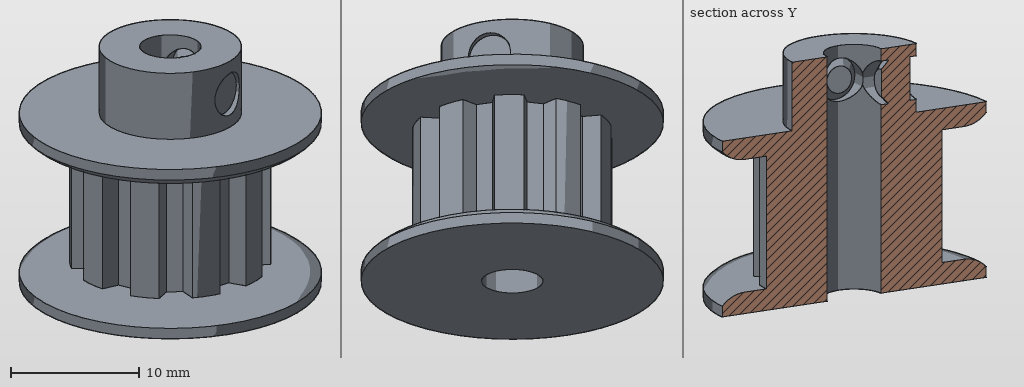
import cadquery as cq
import math

total_height = 19.84
flange_thickness = 1.78
belt_width = 10.72
hub_height = total_height - 2 * flange_thickness - belt_width
upper_flange_bottom = flange_thickness + belt_width
hub_bottom = upper_flange_bottom + flange_thickness

flange_radius = 11.8
flange_rim_height = flange_thickness / 2
flange_flat_radius = 9.8

tooth_count = 10
tip_radius = 7.87
root_distance = 6.43
groove_floor_width = 1.32
groove_mouth_width = 2.6

hub_radius = 5.56
bore_radius = 2.39
screw_hole_radius = 1.75
screw_hole_height = hub_bottom + hub_height / 2

screw_tip_distance = 2.4
screw_tip_radius = 1.1
screw_outer_end = 5.0


def make_flange():
    """Disc with a plain rim and a rounded edge on top that blends into the flat face."""
    edge_width = flange_radius - flange_flat_radius
    edge_drop = flange_thickness - flange_rim_height
    arc_radius = (edge_width**2 + edge_drop**2) / (2 * edge_drop)
    half_sweep = math.asin(edge_width / arc_radius) / 2
    arc_middle = (
        flange_flat_radius + arc_radius * math.sin(half_sweep),
        flange_thickness - arc_radius * (1 - math.cos(half_sweep)),
    )
    profile = (
        cq.Workplane("XZ")
        .lineTo(flange_radius, 0)
        .lineTo(flange_radius, flange_rim_height)
        .threePointArc(arc_middle, (flange_flat_radius, flange_thickness))
        .lineTo(0, flange_thickness)
        .close()
    )
    return profile.revolve(360, (0, 0), (0, 1))


def make_groove():
    """Trapezoidal belt groove, cut on the +X side and running the full belt width."""
    mouth_half = groove_mouth_width / 2
    floor_half = groove_floor_width / 2
    mouth_distance = math.sqrt(tip_radius**2 - mouth_half**2)
    return (
        cq.Workplane("XY")
        .workplane(offset=flange_thickness)
        .moveTo(root_distance, -floor_half)
        .lineTo(mouth_distance, -mouth_half)
        .lineTo(tip_radius, -mouth_half)
        .lineTo(tip_radius, mouth_half)
        .lineTo(mouth_distance, mouth_half)
        .lineTo(root_distance, floor_half)
        .close()
        .extrude(belt_width)
    )


def make_toothed_section():
    """Cylinder with equally spaced grooves, leaving teeth centred on +X and -X."""
    base = cq.Workplane("XY").workplane(offset=flange_thickness)
    section = base.circle(tip_radius).extrude(belt_width)
    groove = make_groove()
    pitch_angle = 360 / tooth_count
    for index in range(tooth_count):
        angle = (index + 0.5) * pitch_angle
        section = section.cut(groove.rotate((0, 0, 0), (0, 0, 1), angle))
    return section


def make_screw_hole():
    """Radial hole from the pulley axis out past the +X side of the hub."""
    return (
        cq.Workplane("YZ")
        .center(0, screw_hole_height)
        .circle(screw_hole_radius)
        .extrude(flange_radius)
    )


def make_set_screw():
    """Screw filling the +X hole, with a 45 degree chamfered flat tip just clear of the bore."""
    screw_length = screw_outer_end - screw_tip_distance
    return (
        cq.Workplane("YZ")
        .workplane(offset=screw_tip_distance)
        .center(0, screw_hole_height)
        .circle(screw_hole_radius)
        .extrude(screw_length)
        .faces("<X")
        .chamfer(screw_hole_radius - screw_tip_radius)
    )


lower_flange = make_flange()
upper_flange = make_flange().mirror("XY").translate((0, 0, hub_bottom))
hub = cq.Workplane("XY").workplane(offset=hub_bottom).circle(hub_radius).extrude(hub_height)
bore = cq.Workplane("XY").circle(bore_radius).extrude(total_height)

result = lower_flange.union(make_toothed_section()).union(upper_flange).union(hub).cut(bore)

screw_hole = make_screw_hole()
set_screw = make_set_screw()
for direction in (0, 90):
    result = result.cut(screw_hole.rotate((0, 0, 0), (0, 0, 1), direction))
    result = result.union(set_screw.rotate((0, 0, 0), (0, 0, 1), direction))